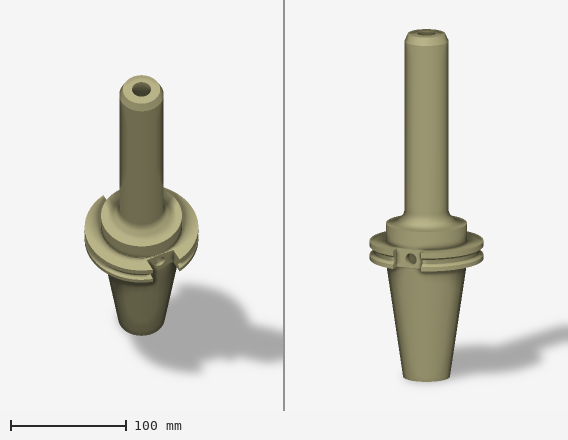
import cadquery as cq
import math

total_height = 304.8
taper_length = 101.5
gauge_radius = 35.0
taper_ratio = 7 / 24
taper_end_radius = gauge_radius - taper_length * taper_ratio / 2

flange_radius = 49.23
flange_bottom = 105.0
flange_top = 121.0
groove_radius = 45.7
groove_middle = 112.5
groove_floor_width = 3.7
groove_wall_angle = 30.0

collar_radius = 35.0
collar_top = 136.5
foot_radius = 35.5
foot_height = 0.5

arbor_radius = 19.2
blend_radius = 8.5
blend_cone_height = 3.0
tip_radius = 16.2
tip_height = 6.7
bore_radius = 8.2
bore_depth = 30.5

slot_width = 26.0
left_slot_floor = 37.8
right_slot_floor = 35.5
slot_hole_radius = 5.2
slot_hole_height = 112.5
slot_hole_depth = 9.0


def make_body():
    """Revolve the half profile of the whole holder about Z."""
    groove_depth = flange_radius - groove_radius
    wall_height = groove_depth * math.tan(math.radians(groove_wall_angle))
    floor_low = groove_middle - groove_floor_width / 2
    floor_high = groove_middle + groove_floor_width / 2

    arc_long = blend_radius * math.sin(math.radians(45))
    arc_short = blend_radius * (1 - math.cos(math.radians(45)))
    mid_long = blend_radius * math.sin(math.radians(22.5))
    mid_short = blend_radius * (1 - math.cos(math.radians(22.5)))
    blend_size = arc_long + blend_cone_height + arc_short
    blend_outer = arbor_radius + blend_size
    blend_top = collar_top + blend_size

    profile = (
        cq.Workplane("XZ")
        .lineTo(taper_end_radius, 0)
        .lineTo(gauge_radius, taper_length)
        .lineTo(gauge_radius, flange_bottom)
        .lineTo(flange_radius, flange_bottom)
        .lineTo(flange_radius, floor_low - wall_height)
        .lineTo(groove_radius, floor_low)
        .lineTo(groove_radius, floor_high)
        .lineTo(flange_radius, floor_high + wall_height)
        .lineTo(flange_radius, flange_top)
        .lineTo(foot_radius, flange_top)
        .lineTo(foot_radius, flange_top + foot_height)
        .lineTo(collar_radius, flange_top + foot_height)
        .lineTo(collar_radius, collar_top)
        .lineTo(blend_outer, collar_top)
        .threePointArc(
            (blend_outer - mid_long, collar_top + mid_short),
            (blend_outer - arc_long, collar_top + arc_short),
        )
        .lineTo(arbor_radius + arc_short, blend_top - arc_long)
        .threePointArc(
            (arbor_radius + mid_short, blend_top - mid_long),
            (arbor_radius, blend_top),
        )
        .lineTo(arbor_radius, total_height - tip_height)
        .lineTo(tip_radius, total_height)
        .lineTo(0, total_height)
        .close()
    )
    return profile.revolve(360, (0, 0, 0), (0, 1, 0))


def make_bore():
    """Blind bore in the arbor tip."""
    return cq.Workplane("XY", origin=(0, 0, total_height)).circle(bore_radius).extrude(-bore_depth)


def make_drive_slot(side, floor):
    """Slot across the flange with a blind hole in its floor; side is +1 or -1."""
    flange_height = flange_top - flange_bottom
    middle = (flange_top + flange_bottom) / 2
    slot = (
        cq.Workplane("YZ", origin=(side * floor, 0, middle))
        .rect(slot_width, flange_height)
        .extrude(side * flange_radius)
    )
    hole = (
        cq.Workplane("YZ", origin=(side * floor, 0, slot_hole_height))
        .circle(slot_hole_radius)
        .extrude(-side * slot_hole_depth)
    )
    return slot.union(hole)


result = make_body().cut(make_bore())
for side, floor in ((-1, left_slot_floor), (1, right_slot_floor)):
    result = result.cut(make_drive_slot(side, floor))